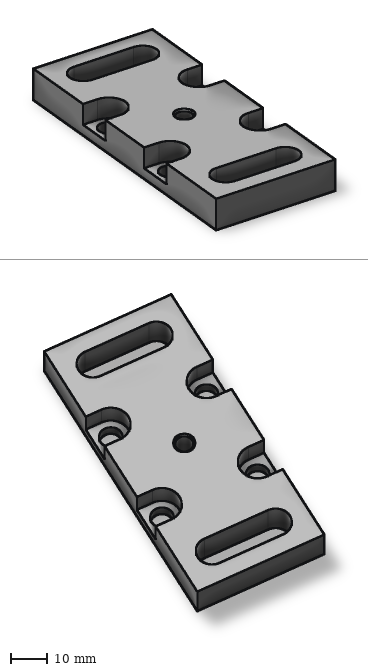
import cadquery as cq

length = 90.0
width = 40.0
thickness = 10.0

hole_offset = 15.0
hole_diameter = 6.6
counterbore_diameter = 11.0
counterbore_depth = 6.6

slot_offset = 35.0
slot_width = 9.0
slot_length = 29.0

centre_diameter = 5.0
centre_chamfer = 0.5


def open_counterbore(x, side):
    """Round-ended pocket running out through the +Y (side=1) or -Y (side=-1) face."""
    floor = thickness - counterbore_depth
    run_out = width / 2 - hole_offset
    round_end = (
        cq.Workplane("XY", origin=(x, side * hole_offset, floor))
        .circle(counterbore_diameter / 2)
        .extrude(counterbore_depth)
    )
    channel = (
        cq.Workplane("XY", origin=(x, side * (hole_offset + run_out / 2), floor))
        .rect(counterbore_diameter, run_out)
        .extrude(counterbore_depth)
    )
    return round_end.union(channel)


result = cq.Workplane("XY").box(length, width, thickness, centered=(True, True, False))

for x in (-hole_offset, hole_offset):
    for side in (-1, 1):
        hole = (
            cq.Workplane("XY", origin=(x, side * hole_offset, 0))
            .circle(hole_diameter / 2)
            .extrude(thickness)
        )
        result = result.cut(hole).cut(open_counterbore(x, side))

slots = (
    cq.Workplane("XY")
    .pushPoints([(-slot_offset, 0), (slot_offset, 0)])
    .slot2D(slot_length, slot_width, angle=90)
    .extrude(thickness)
)
result = result.cut(slots)

centre_mouth = centre_diameter + 2 * centre_chamfer
result = (
    result.faces(">Z")
    .workplane(origin=(0, 0, thickness))
    .cskHole(centre_diameter, centre_mouth, 90)
)